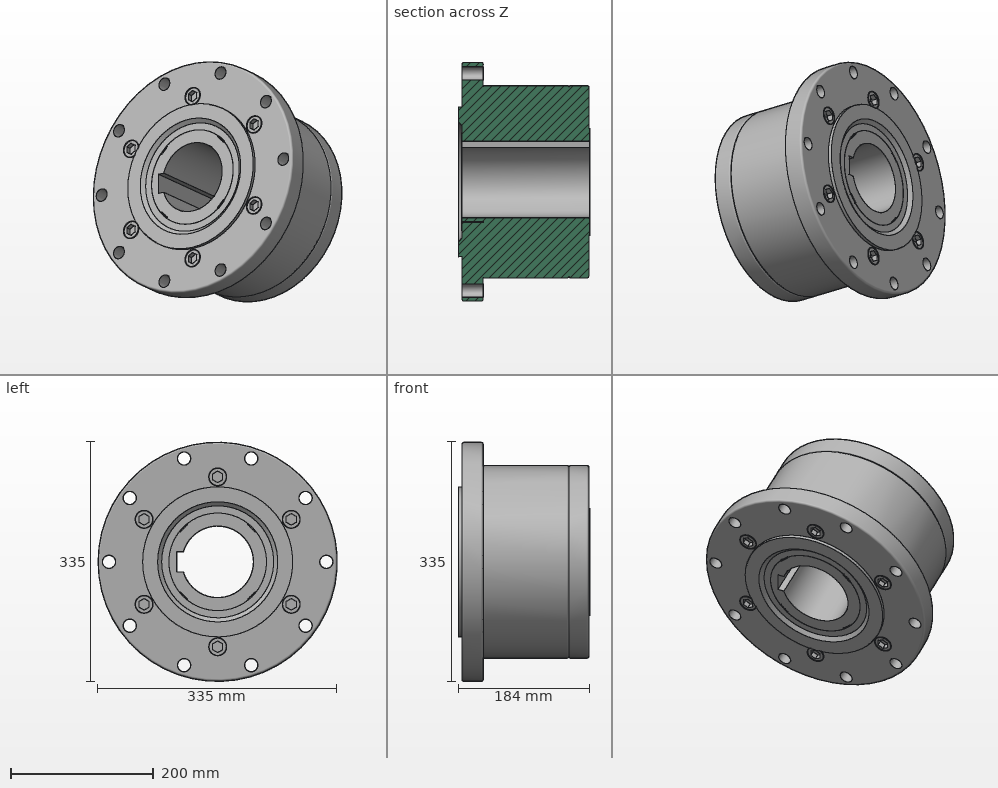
import cadquery as cq
import math

LENGTH = 184.0
FLANGE_FACE = 5.0
FLANGE_THICKNESS = 29.8
FLANGE_BACK = FLANGE_FACE + FLANGE_THICKNESS
COVER_JOINT = 155.0
BARREL_END = 183.0

FLANGE_DIAMETER = 335.0
PILOT_DIAMETER = 210.0
BARREL_DIAMETER = 270.0
HUB_DIAMETER = 150.0
BORE_DIAMETER = 99.8

LARGE_ROUND = 3.0
SMALL_ROUND = 2.0

RECESS_DIAMETER = 168.2
RECESS_FLOOR_DIAMETER = 156.8
RECESS_DEPTH = 5.0

NUT_DIAMETER = 136.7
NUT_HEIGHT = 0.5
NUT_SLOT_COUNT = 4
NUT_SLOT_WIDTH = 14.5
NUT_SLOT_DEPTH = 3.5
NUT_SLOT_FLOOR_RADIUS = 66.5

KEYWAY_WIDTH = 28.0
KEYWAY_REACH = 57.0

HOLE_COUNT = 10
HOLE_DIAMETER = 18.0
HOLE_CIRCLE_RADIUS = 152.0

SCREW_COUNT = 6
SCREW_CIRCLE_RADIUS = 119.0
SCREW_SEAT_DIAMETER = 25.0
SCREW_HEAD_DIAMETER = 24.0
SCREW_GAP_DEPTH = 1.0
SOCKET_ACROSS_FLATS = 14.0
SOCKET_DEPTH = 8.0


def disc(diameter, start, end):
    """Cylinder on the X axis between two axial stations."""
    return cq.Workplane("YZ", origin=(start, 0, 0)).circle(diameter / 2).extrude(end - start)


def around_axis(feature, count):
    """Copies of a feature spaced evenly around the X axis."""
    copies = cq.Workplane("YZ")
    for index in range(count):
        copies = copies.add(feature.rotate((0, 0, 0), (1, 0, 0), index * 360 / count))
    return copies.combine()


def make_body():
    pilot = disc(PILOT_DIAMETER, 0, FLANGE_BACK)
    flange = disc(FLANGE_DIAMETER, FLANGE_FACE, FLANGE_BACK).edges().fillet(LARGE_ROUND)
    barrel = disc(BARREL_DIAMETER, FLANGE_BACK, COVER_JOINT)
    barrel = barrel.edges("<X").fillet(SMALL_ROUND).edges(">X").fillet(LARGE_ROUND)
    cover = disc(BARREL_DIAMETER, COVER_JOINT, BARREL_END)
    cover = cover.edges("<X").fillet(SMALL_ROUND).edges(">X").fillet(LARGE_ROUND)
    hub = disc(HUB_DIAMETER, FLANGE_BACK, LENGTH)
    return pilot.union(flange).union(barrel).union(cover).union(hub)


def make_recess():
    return (
        cq.Workplane("YZ")
        .circle(RECESS_DIAMETER / 2)
        .workplane(offset=RECESS_DEPTH)
        .circle(RECESS_FLOOR_DIAMETER / 2)
        .loft(ruled=True)
    )


def make_nut_face():
    return disc(NUT_DIAMETER, RECESS_DEPTH - NUT_HEIGHT, RECESS_DEPTH)


def make_nut_slots():
    """Shallow pockets between a flat slot floor and the rim of the nut."""
    nut_top = RECESS_DEPTH - NUT_HEIGHT
    slot_end = nut_top + NUT_SLOT_DEPTH
    nut_radius = NUT_DIAMETER / 2
    slot_height = nut_radius - NUT_SLOT_FLOOR_RADIUS
    slot = (
        cq.Workplane("YZ", origin=(nut_top, 0, 0))
        .center(0, NUT_SLOT_FLOOR_RADIUS + slot_height / 2)
        .rect(NUT_SLOT_WIDTH, slot_height)
        .extrude(NUT_SLOT_DEPTH)
        .intersect(disc(NUT_DIAMETER, nut_top, slot_end))
        .rotate((0, 0, 0), (1, 0, 0), 180 / NUT_SLOT_COUNT)
    )
    return around_axis(slot, NUT_SLOT_COUNT)


def make_keyed_bore():
    keyway = cq.Workplane("YZ").center(KEYWAY_REACH / 2, 0).rect(KEYWAY_REACH, KEYWAY_WIDTH).extrude(LENGTH)
    return disc(BORE_DIAMETER, 0, LENGTH).union(keyway)


def make_flange_holes():
    hole = disc(HOLE_DIAMETER, FLANGE_FACE, FLANGE_BACK).translate((0, HOLE_CIRCLE_RADIUS, 0))
    return around_axis(hole, HOLE_COUNT)


def make_screw_cuts():
    """Gap around each screw head plus its hexagon socket, with corners pointing radially."""
    center = (FLANGE_FACE, 0, SCREW_CIRCLE_RADIUS)
    gap = (
        cq.Workplane("YZ", origin=center)
        .circle(SCREW_SEAT_DIAMETER / 2)
        .circle(SCREW_HEAD_DIAMETER / 2)
        .extrude(SCREW_GAP_DEPTH)
    )
    across_corners = SOCKET_ACROSS_FLATS / math.cos(math.pi / 6)
    socket = (
        cq.Workplane("YZ", origin=center)
        .polygon(6, across_corners)
        .extrude(SOCKET_DEPTH)
        .rotate(center, (LENGTH, 0, SCREW_CIRCLE_RADIUS), 90)
    )
    return around_axis(gap, SCREW_COUNT).add(around_axis(socket, SCREW_COUNT)).combine()


result = (
    make_body()
    .cut(make_recess())
    .union(make_nut_face())
    .cut(make_nut_slots())
    .cut(make_keyed_bore())
    .cut(make_flange_holes())
    .cut(make_screw_cuts())
)